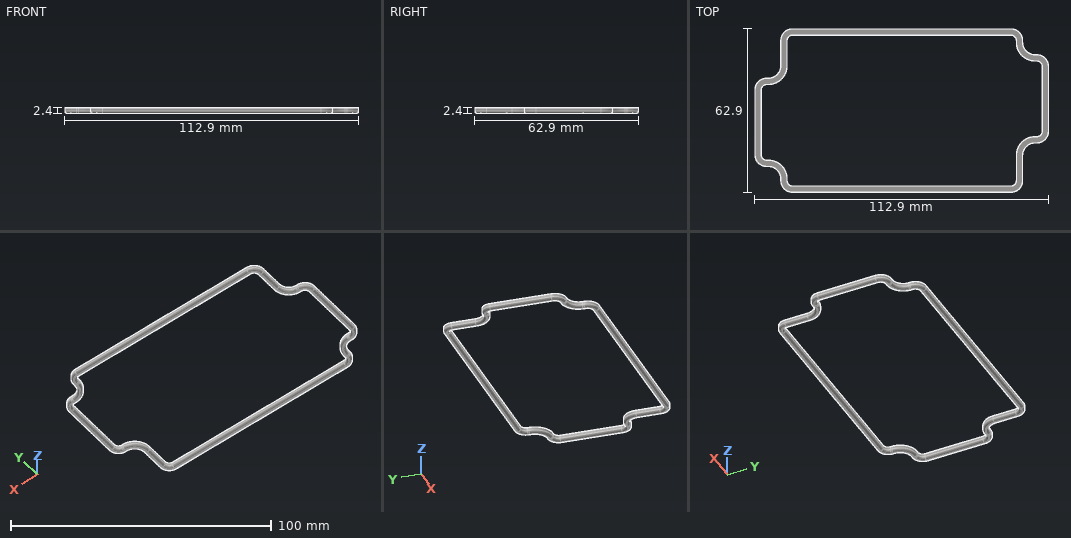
import cadquery as cq

length = 112.9
width = 62.9
height = 2.4

strip_width = 2.5
bottom_fillet = 1.0

tab_reach = 9.9
deep_notch = 19.0
shallow_notch = tab_reach

convex_radius = 4.5
concave_radius = 4.7


def fillet_upright_edges(plate, points, radius):
    """Round the vertical edges of the plate that stand at the given (x, y) points."""
    for x, y in points:
        corner = cq.selectors.NearestToPointSelector((x, y, height / 2))
        plate = plate.edges(corner).fillet(radius)
    return plate


def rounded_plate(inset):
    """Plate whose rounded outline runs at a constant distance inside the outer outline."""
    tab_x = length / 2 - inset
    body_x = length / 2 - tab_reach - inset
    body_y = width / 2 - inset
    tab_high = body_y - shallow_notch
    tab_low = -(body_y - deep_notch)

    right_half = [
        (body_x, -body_y),
        (body_x, tab_low),
        (tab_x, tab_low),
        (tab_x, tab_high),
        (body_x, tab_high),
        (body_x, body_y),
    ]
    outline = right_half + [(-x, -y) for x, y in right_half]

    tab_roots = [(x, y) for x, y in outline if abs(x) == body_x and abs(y) != body_y]
    outer_corners = [point for point in outline if point not in tab_roots]

    plate = cq.Workplane("XY").polyline(outline).close().extrude(height)
    plate = fillet_upright_edges(plate, tab_roots, concave_radius + inset)
    return fillet_upright_edges(plate, outer_corners, convex_radius - inset)


ring = rounded_plate(0).cut(rounded_plate(strip_width))

result = ring.faces("<Z").edges().fillet(bottom_fillet)